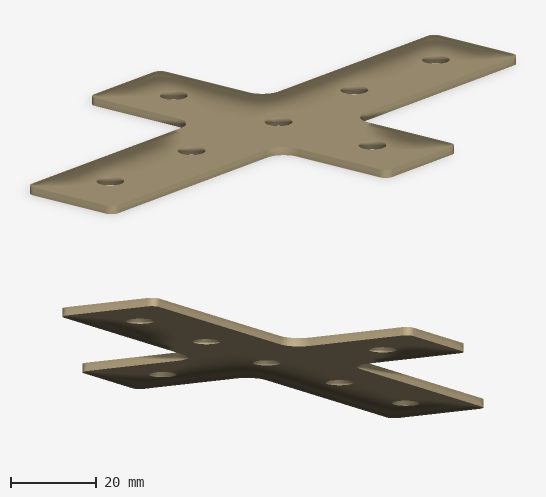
import cadquery as cq

length_x = 90.0
length_y = 150.0
thickness = 2.0
arm_width = 26.0
corner_radius = 2.0
inner_radius = 5.0

hole_diameter = 6.5
hole_pitch = 30.0
center_hole_offset = 1.7


def make_bar(size_x, size_y):
    """Flat bar centred on the origin, with its four upright corners rounded."""
    return cq.Workplane("XY").box(size_x, size_y, thickness).edges("|Z").fillet(corner_radius)


def make_plate():
    """Two crossed bars, with the four inner corners filleted."""
    cross = make_bar(length_x, arm_width).union(make_bar(arm_width, length_y))
    reach = arm_width / 2 + inner_radius
    inner_corners = cq.selectors.BoxSelector((-reach, -reach, -thickness), (reach, reach, thickness))
    return cross.edges("|Z").edges(inner_corners).fillet(inner_radius)


def hole_positions():
    """One hole on each short arm, two on each long arm and one off-centre hole in the middle."""
    positions = [(center_hole_offset, 0)]
    for side in (-1, 1):
        positions.append((side * hole_pitch, 0))
        positions.append((0, side * hole_pitch))
        positions.append((0, side * 2 * hole_pitch))
    return positions


result = make_plate().faces(">Z").workplane().pushPoints(hole_positions()).hole(hole_diameter)